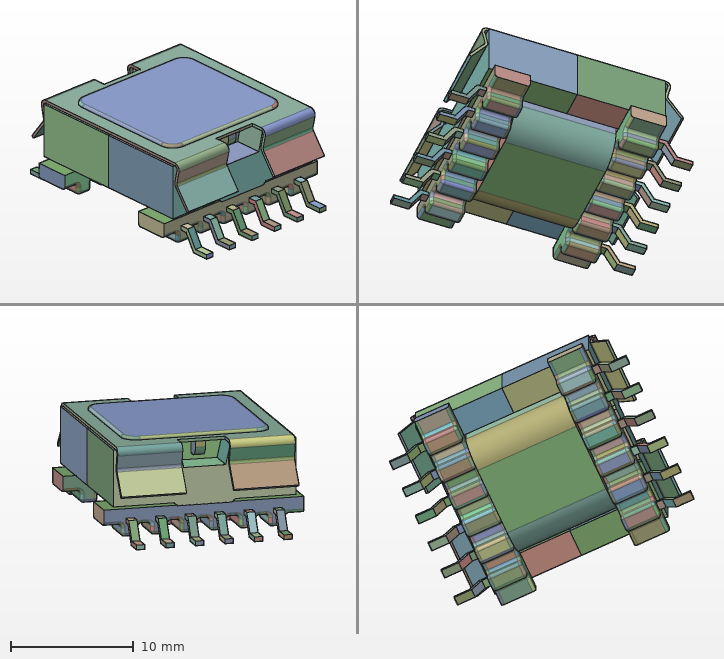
import cadquery as cq
import math


core_half_x = 7.77
core_half_y = 7.75
core_bottom = 3.02
core_top = 7.8
window_half_x = 5.23
window_half_y = 5.45
post_half_y = 2.6
post_bottom = 2.75
post_top = 5.15
post_chamfer = core_bottom - post_bottom
pocket_floor = 5.93
pocket_floor_half_y = 1.78
pocket_top_half_y = 2.2

rail_inner_x = 4.44
rail_outer_x = 7.55
rail_half_y = 8.5
rail_top = post_bottom
rail_bottom = 1.4
middle_gap_roof = 1.49
leg_bottom = 0.38
leg_width = 1.42
leg_root_radius = 0.28
rail_edge_fillet = 0.28

flange_outer_x = 5.15
flange_half_y = 5.35
flange_top = 7.73
flange_fillet = 0.53
nose_half_y = 0.42
nose_tip_x = 6.5
nose_bottom = 6.44
nose_radius = 0.79
tube_half_y = 2.72
tube_gap_above_post = 0.08
tube_top = post_top + tube_gap_above_post
tube_wall = 0.21

pin_count = 6
pin_pitch = 2.5
pin_width = 0.7
pin_thickness = 0.4
pin_tip_x = 10.62
pin_top = 1.93
pin_upper_bend_x = 8.35
pin_lower_bend_x = 9.26
pin_places = [(i - (pin_count - 1) / 2) * pin_pitch for i in range(pin_count)]

winding_half_y = 5.16
winding_bottom = leg_bottom
winding_top = post_bottom + post_top - winding_bottom
winding_corner_radius = 2.27

clip_thickness = 0.25
clip_top = core_top + clip_thickness
clip_half_y = 7.55
notch_x = 6.73
notch_half_y = 2.02
bend_radius = 0.53
bend_lean = math.radians(14)
elbow_x = 7.88
elbow_z = 6.12
elbow_radius = 0.36
arm_tip_x = 9.35
arm_tip_z = 4.15
pad_top = 8.3
pad_half_x = 6.01
pad_half_y = 6.25
pad_corner_radius = 1.25
pad_edge_fillet = 0.23


def box(x0, x1, y0, y1, z0, z1):
    return cq.Workplane("XY").box(x1 - x0, y1 - y0, z1 - z0, centered=False).translate((x0, y0, z0))


def y_centred_box(x0, x1, half_y, z0, z1):
    return box(x0, x1, -half_y, half_y, z0, z1)


def centred_box(half_x, half_y, z0, z1):
    return box(-half_x, half_x, -half_y, half_y, z0, z1)


def both_ends(shape):
    """The shape at +X joined with its mirror image at -X."""
    return shape.union(shape.mirror("YZ"))


def core_pocket():
    """Tapered recess through the +X back wall."""
    return (
        cq.Workplane("YZ", origin=(window_half_x, 0, 0))
        .moveTo(-pocket_floor_half_y, pocket_floor)
        .lineTo(pocket_floor_half_y, pocket_floor)
        .lineTo(pocket_top_half_y, core_top)
        .lineTo(-pocket_top_half_y, core_top)
        .close()
        .extrude(core_half_x - window_half_x)
    )


def make_core_half():
    """The +X half of the core: back wall, two side legs and the lower-set centre post."""
    frame = y_centred_box(0, core_half_x, core_half_y, core_bottom, core_top)
    window = y_centred_box(0, window_half_x, window_half_y, core_bottom, core_top)
    post = y_centred_box(0, core_half_x, post_half_y, post_bottom, post_top)
    post = post.edges("|X and <Z").chamfer(post_chamfer)
    return frame.cut(window).union(post).cut(core_pocket())


def rail():
    """Foot rail at +X, cut away between the legs so that one leg stands behind every pin."""
    body = y_centred_box(rail_inner_x, rail_outer_x, rail_half_y, leg_bottom, rail_top)
    beyond_rail = rail_half_y + leg_width
    gap_starts = [-beyond_rail] + [y + leg_width / 2 for y in pin_places]
    gap_ends = [y - leg_width / 2 for y in pin_places] + [beyond_rail]
    for i, (start, end) in enumerate(zip(gap_starts, gap_ends)):
        is_middle = 2 <= i <= pin_count - 2
        roof = middle_gap_roof if is_middle else rail_bottom
        gap = box(rail_inner_x, rail_outer_x, start, end, 0, roof)
        body = body.cut(gap.edges("|X and >Z").fillet(leg_root_radius))
    margin = 0.02
    lower_rim = cq.selectors.BoxSelector(
        (rail_inner_x - margin, -rail_half_y + margin, leg_bottom - margin),
        (rail_outer_x + margin, rail_half_y - margin, middle_gap_roof + margin),
    )
    rim_edges = body.faces("<X or >X").edges(lower_rim).vals()
    leg_edges = body.faces("<Z").edges("|X").vals()
    return body.newObject(rim_edges + leg_edges).fillet(rail_edge_fillet)


def flange():
    """Plate on the +X rail, rounded on its winding side and at the mouth of the tube."""
    plate = y_centred_box(rail_inner_x, flange_outer_x, flange_half_y, rail_top, flange_top)
    plate = plate.edges("|Z and <X").fillet(flange_fillet)
    plate = plate.cut(y_centred_box(rail_inner_x, flange_outer_x, tube_half_y, rail_top, tube_top))
    margin = 0.02
    mouth = cq.selectors.BoxSelector(
        (flange_outer_x - margin, -tube_half_y - margin, rail_top),
        (flange_outer_x + margin, tube_half_y + margin, tube_top),
    )
    return plate.edges(mouth).edges("|Z").fillet(flange_fillet)


def nose():
    """Nose on the +X flange whose lower outer edge is rounded."""
    block = y_centred_box(flange_outer_x, nose_tip_x, nose_half_y, nose_bottom, flange_top)
    return block.edges("|Y and >X and <Z").fillet(nose_radius)


def pin():
    """Gull-wing pin at +X, centred on Y = 0."""
    slope = math.atan2(pin_top - pin_thickness, pin_lower_bend_x - pin_upper_bend_x)
    bend_shift = pin_thickness * math.tan(slope / 2)
    return (
        cq.Workplane("XZ")
        .moveTo(rail_outer_x, pin_top)
        .lineTo(pin_upper_bend_x, pin_top)
        .lineTo(pin_lower_bend_x, pin_thickness)
        .lineTo(pin_tip_x, pin_thickness)
        .lineTo(pin_tip_x, 0)
        .lineTo(pin_lower_bend_x - bend_shift, 0)
        .lineTo(pin_upper_bend_x - bend_shift, pin_top - pin_thickness)
        .lineTo(rail_outer_x, pin_top - pin_thickness)
        .close()
        .extrude(pin_width / 2, both=True)
    )


def tube_outside():
    return centred_box(rail_inner_x, tube_half_y + tube_wall, post_bottom - tube_wall, tube_top + tube_wall)


def make_bobbin():
    """Two rails with flanges, noses and pins, joined by the tube around the core's post."""
    end = rail().union(flange()).union(nose())
    for y in pin_places:
        end = end.union(pin().translate((0, y, 0)))
    tube = tube_outside().cut(centred_box(rail_inner_x, tube_half_y, post_bottom, tube_top))
    return both_ends(end).union(tube)


def make_winding():
    """Rounded coil between the flanges, wound on the tube."""
    coil = centred_box(rail_inner_x, winding_half_y, winding_bottom, winding_top)
    return coil.edges("|X").fillet(winding_corner_radius).cut(tube_outside())


def spring_arms():
    """Two strips at +X that curl over the core's edge, lean in to its face and flare outward."""
    bend_z = clip_top - bend_radius
    middle_radius = bend_radius - clip_thickness / 2
    half_turn = (math.pi / 2 + bend_lean) / 2
    path = (
        cq.Workplane("XZ")
        .moveTo(core_half_x, bend_z + middle_radius)
        .threePointArc(
            (core_half_x + middle_radius * math.sin(half_turn), bend_z + middle_radius * math.cos(half_turn)),
            (core_half_x + middle_radius * math.cos(bend_lean), bend_z - middle_radius * math.sin(bend_lean)),
        )
        .lineTo(elbow_x, elbow_z)
        .lineTo(arm_tip_x, arm_tip_z)
    )
    width = clip_half_y - notch_half_y
    section = cq.Workplane("YZ", origin=(core_half_x, 0, bend_z + middle_radius)).rect(width, clip_thickness)
    arm = section.sweep(path, transition="right")
    elbow = cq.selectors.BoxSelector(
        (elbow_x - clip_thickness, -width, elbow_z - clip_thickness),
        (elbow_x + clip_thickness, width, elbow_z + clip_thickness),
    )
    arm = arm.edges(elbow).edges("|Y and >X").fillet(elbow_radius)
    arm = arm.edges(elbow).edges("|Y and <X").fillet(elbow_radius + clip_thickness)
    arm_y = (clip_half_y + notch_half_y) / 2
    return arm.translate((0, arm_y, 0)).union(arm.translate((0, -arm_y, 0)))


def make_clip():
    """Plate with a raised pad, a notch at each end and two spring arms beside each notch."""
    plate = centred_box(core_half_x, clip_half_y, core_top, clip_top)
    pad = centred_box(pad_half_x, pad_half_y, clip_top, pad_top)
    pad = pad.edges("|Z").fillet(pad_corner_radius)
    pad = pad.faces(">Z").edges().fillet(pad_edge_fillet)
    notch = y_centred_box(notch_x, core_half_x, notch_half_y, core_top, clip_top)
    return plate.union(pad).cut(both_ends(notch)).union(both_ends(spring_arms()))


right_core = make_core_half()
left_core = right_core.mirror("YZ")
bobbin = make_bobbin()
winding = make_winding()
clip = make_clip()
bodies = [right_core, left_core, bobbin, winding, clip]
result = cq.Compound.makeCompound([body.solids().val() for body in bodies])